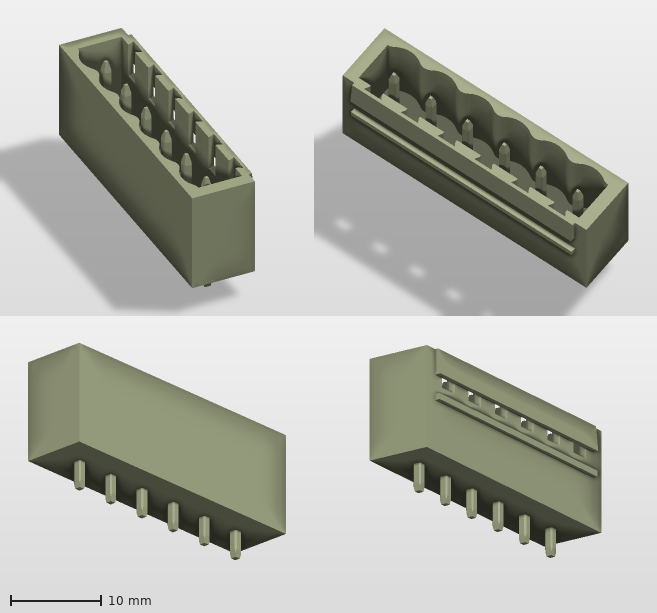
import cadquery as cq
import math


pin_count = 6
cavity_length = 30.48
housing_length = 33.68
housing_depth = 7.7
housing_height = 12.0

floor_thickness = 3.0
back_wall = 0.8
crest_wall = 1.55
valley_wall = 0.75
valley_radius = 3.03

slot_inner_width = 1.75
slot_outer_width = 2.4
slot_lip = 0.27
slot_height = 4.15

latch_height = 3.0
latch_top_reach = 0.4
latch_bottom_reach = 0.7
rib_height = 0.7
rib_reach = 0.6
rib_bottom = 6.0

pin_width = 1.0
pin_chamfer = 0.17
pin_y = 3.77
pin_recess = 0.8
pin_tail = 3.2
top_taper = 1.25
top_width = 0.37
tail_taper = 0.9
tail_width = 0.67

pitch = cavity_length / pin_count
pin_xs = [(i - (pin_count - 1) / 2) * pitch for i in range(pin_count)]
cavity_back = housing_depth - back_wall
cavity_depth = housing_height - floor_thickness
pin_top = housing_height - pin_recess


def make_cavity():
    """Pocket whose front side is a wave: a concave arc per pin joined by tangent crests."""
    wave_height = crest_wall - valley_wall
    half_pitch = pitch / 2
    arc_angle = 2 * math.atan(wave_height / half_pitch)
    crest_radius = half_pitch / math.sin(arc_angle) - valley_radius
    crest_center_y = crest_wall - crest_radius

    def crest_point(angle):
        """Offset from the top of a crest, and Y, at an angle along its arc."""
        return crest_radius * math.sin(angle), crest_center_y + crest_radius * math.cos(angle)

    join_offset, join_y = crest_point(arc_angle)
    middle_offset, middle_y = crest_point(arc_angle / 2)

    left = -cavity_length / 2
    outline = cq.Workplane("XY").workplane(offset=floor_thickness)
    outline = outline.moveTo(left, cavity_back).lineTo(left, crest_wall)
    for x in pin_xs:
        left_crest = x - half_pitch
        right_crest = x + half_pitch
        outline = (
            outline
            .threePointArc((left_crest + middle_offset, middle_y), (left_crest + join_offset, join_y))
            .threePointArc((x, valley_wall), (right_crest - join_offset, join_y))
            .threePointArc((right_crest - middle_offset, middle_y), (right_crest, crest_wall))
        )
    return outline.lineTo(-left, cavity_back).close().extrude(cavity_depth)


def make_slot(x):
    """Dovetail slot through the back wall, open at the top and wider on the outside."""
    inner = slot_inner_width / 2
    outer = slot_outer_width / 2
    lip_y = cavity_back + slot_lip
    return (
        cq.Workplane("XY").workplane(offset=housing_height - slot_height)
        .moveTo(x - inner, cavity_back)
        .lineTo(x - inner, lip_y)
        .lineTo(x - outer, housing_depth)
        .lineTo(x + outer, housing_depth)
        .lineTo(x + inner, lip_y)
        .lineTo(x + inner, cavity_back)
        .close()
        .extrude(slot_height)
    )


def make_latch():
    """Ledge that closes the slot tops from behind and leans outwards going down."""
    latch_bottom = housing_height - latch_height
    return (
        cq.Workplane("YZ").workplane(offset=-cavity_length / 2)
        .moveTo(housing_depth, housing_height)
        .lineTo(housing_depth + latch_top_reach, housing_height)
        .lineTo(housing_depth + latch_bottom_reach, latch_bottom)
        .lineTo(housing_depth, latch_bottom)
        .close()
        .extrude(cavity_length)
    )


def make_rib():
    """Plain rib on the back face, below the slots."""
    return (
        cq.Workplane("XY")
        .box(cavity_length, rib_reach, rib_height, centered=(True, False, False))
        .translate((0, housing_depth, rib_bottom))
    )


def make_taper(start_width, end_width, start_z, length):
    """Square pyramid stump on the pin axis; a negative length points down."""
    return (
        cq.Workplane("XY").workplane(offset=start_z)
        .rect(start_width, start_width)
        .workplane(offset=length)
        .rect(end_width, end_width)
        .loft(ruled=True)
    )


def make_pin(x):
    """Square bar with chamfered long edges, tapered at both ends."""
    length = pin_top + pin_tail
    bar = (
        cq.Workplane("XY").workplane(offset=-pin_tail)
        .rect(pin_width, pin_width).extrude(length)
        .edges("|Z").chamfer(pin_chamfer)
    )
    shank_top = pin_top - top_taper
    shank_bottom = tail_taper - pin_tail
    envelope = (
        cq.Workplane("XY").workplane(offset=shank_bottom)
        .rect(pin_width, pin_width).extrude(shank_top - shank_bottom)
        .union(make_taper(pin_width, top_width, shank_top, top_taper))
        .union(make_taper(pin_width, tail_width, shank_bottom, -tail_taper))
    )
    return bar.intersect(envelope).translate((x, pin_y, 0))


def make_housing(pins):
    body = cq.Workplane("XY").box(
        housing_length, housing_depth, housing_height, centered=(True, False, False)
    )
    body = body.cut(make_cavity())
    for x in pin_xs:
        body = body.cut(make_slot(x))
    body = body.union(make_latch()).union(make_rib())
    for pin in pins:
        body = body.cut(pin)
    return body


pins = [make_pin(x) for x in pin_xs]
housing = make_housing(pins)

result = cq.Compound.makeCompound([housing.val(), *[pin.val() for pin in pins]])